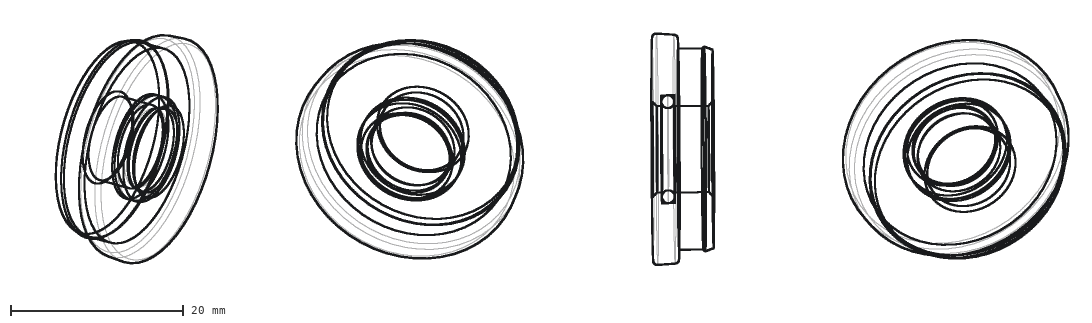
import cadquery as cq
import math


length = 7.0
flange_thickness = 3.0
flange_start = length - flange_thickness

flange_radius = 13.4
rim_fillet = 0.5
rim_taper = math.radians(4.0)

spigot_radius = 11.65
lip_radius = 11.85
lip_tip_radius = 11.5
lip_peak_x = 0.95
lip_end_x = 1.2

bore_radius = 5.0
bore_chamfer = 0.5

ring_section = 1.5
ring_inner_radius = 4.75
ring_center_x = 5.2
ring_center_radius = ring_inner_radius + ring_section / 2
groove_radius = ring_inner_radius + ring_section

x_axis_start = (0, 0, 0)
x_axis_end = (1, 0, 0)


def rim_radius(x):
    """Radius of the tapered rim at x; the rounded rear edge peaks at the flange radius."""
    fillet_center_x = length - rim_fillet
    fillet_center_radius = flange_radius - rim_fillet
    along_taper = (x - fillet_center_x) * math.tan(rim_taper)
    return fillet_center_radius + rim_fillet / math.cos(rim_taper) + along_taper


def flange():
    """Solid tapered disc with both rim edges rounded."""
    outline = (
        cq.Workplane("XZ")
        .moveTo(flange_start, 0)
        .lineTo(flange_start, rim_radius(flange_start))
        .lineTo(length, rim_radius(length))
        .lineTo(length, 0)
        .close()
    )
    disc = outline.revolve(360, x_axis_start, x_axis_end)
    return disc.faces("<X or >X").edges().fillet(rim_fillet)


def spigot():
    """Solid spigot with the raised lip at its free end."""
    outline = (
        cq.Workplane("XZ")
        .lineTo(0, lip_tip_radius)
        .lineTo(lip_peak_x, lip_radius)
        .lineTo(lip_end_x, spigot_radius)
        .lineTo(flange_start, spigot_radius)
        .lineTo(flange_start, 0)
        .close()
    )
    return outline.revolve(360, x_axis_start, x_axis_end)


def bore():
    """Through bore, chamfered at both ends."""
    mouth_radius = bore_radius + bore_chamfer
    outline = (
        cq.Workplane("XZ")
        .lineTo(0, mouth_radius)
        .lineTo(bore_chamfer, bore_radius)
        .lineTo(length - bore_chamfer, bore_radius)
        .lineTo(length, mouth_radius)
        .lineTo(length, 0)
        .close()
    )
    return outline.revolve(360, x_axis_start, x_axis_end)


def ring_groove():
    """Square-sided groove around the bore that seats the sealing ring."""
    groove_start = ring_center_x - ring_section / 2
    return cq.Workplane("YZ", origin=(groove_start, 0, 0)).circle(groove_radius).extrude(ring_section)


def bush():
    """Flange and spigot in one piece, bored and grooved."""
    return flange().union(spigot()).cut(bore()).cut(ring_groove())


def sealing_ring():
    """Round-section ring that reaches slightly inside the bore."""
    inner_point = (ring_center_x, ring_inner_radius)
    outer_point = (ring_center_x, groove_radius)
    front_point = (ring_center_x - ring_section / 2, ring_center_radius)
    rear_point = (ring_center_x + ring_section / 2, ring_center_radius)
    section = (
        cq.Workplane("XZ")
        .moveTo(*inner_point)
        .threePointArc(rear_point, outer_point)
        .threePointArc(front_point, inner_point)
        .close()
    )
    return section.revolve(360, x_axis_start, x_axis_end, clean=False)


result = cq.Compound.makeCompound([bush().val(), sealing_ring().val()])